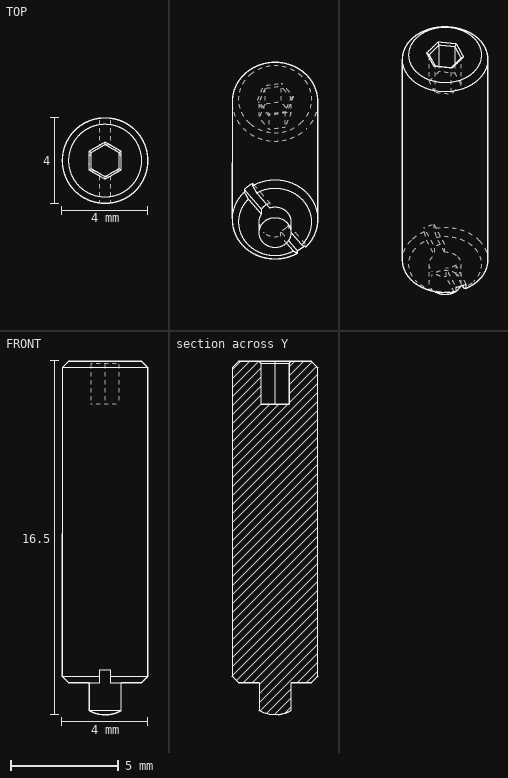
import cadquery as cq
import math

body_diameter = 4.0
body_length = 15.0
body_chamfer = 0.3

pin_diameter = 1.5
pin_projection = 1.5
tip_radius = 1.5

slot_width = 0.5
slot_depth = 0.6

socket_across_flats = 1.3
socket_mouth_across_flats = 1.5
socket_depth = 2.0
mouth_taper_angle = 45.0


def hexagon(z, across_flats):
    """Hexagon outline at height z with two corners above the Y axis."""
    corner_diameter = across_flats / math.cos(math.pi / 6)
    plane = cq.Workplane("XY", origin=(0, 0, z)).transformed(rotate=(0, 0, 90))
    return plane.polygon(6, corner_diameter)


def make_body():
    cylinder = cq.Workplane("XY").circle(body_diameter / 2).extrude(body_length)
    return cylinder.faces("<Z or >Z").chamfer(body_chamfer)


def make_slot():
    """Cutter centred on the lower face, so its upper half forms the slot."""
    return cq.Workplane("XY").box(slot_width, body_diameter, 2 * slot_depth)


def make_socket():
    """Cutter for the straight hexagon socket and its tapered mouth."""
    mouth_inset = (socket_mouth_across_flats - socket_across_flats) / 2
    mouth_depth = mouth_inset / math.tan(math.radians(mouth_taper_angle))
    straight = hexagon(body_length, socket_across_flats).extrude(-socket_depth)
    mouth_outline = hexagon(body_length, socket_mouth_across_flats)
    mouth = mouth_outline.extrude(-mouth_depth, taper=mouth_taper_angle)
    return straight.union(mouth)


def make_pin():
    """Revolved pin whose root reaches up to the slot floor."""
    pin_radius = pin_diameter / 2
    tip_center_z = tip_radius - pin_projection

    def tip_z(radius):
        return tip_center_z - math.sqrt(tip_radius**2 - radius**2)

    arc_middle_radius = pin_radius / 2
    profile = (
        cq.Workplane("XZ")
        .moveTo(0, slot_depth)
        .lineTo(pin_radius, slot_depth)
        .lineTo(pin_radius, tip_z(pin_radius))
        .threePointArc((arc_middle_radius, tip_z(arc_middle_radius)), (0, -pin_projection))
        .close()
    )
    return profile.revolve(360, (0, 0, 0), (0, 1, 0))


result = make_body().cut(make_slot()).cut(make_socket()).union(make_pin())